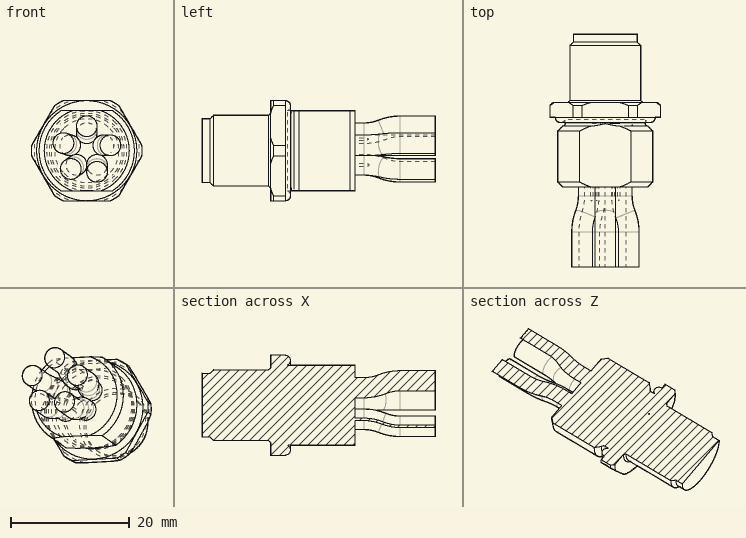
import cadquery as cq
import math


barrel_diameter = 12.0
tip_diameter = 10.8
tip_y = 14.03
tip_length = 1.35
barrel_chamfer = (barrel_diameter - tip_diameter) / 2
root_flare = 0.3

hex_across_flats = 17.0
hex_corner_diameter = 18.7
hex_thickness = 2.5
hex_chamfer = 0.5

neck_diameter = 13.5
ring_outer_diameter = 16.9
ring_section_diameter = 1.75
ring_center_radius = (ring_outer_diameter - ring_section_diameter) / 2

body_diameter = 16.07
body_across_flats = 13.5
body_rear_y = -11.75
body_length = 10.3
body_front_y = body_rear_y + body_length
body_chamfer = 0.85

wire_diameter = 3.5
wire_circle_radius = 2.95
overall_length = 39.3
wire_end_y = tip_y - overall_length
straight_root_length = 1.55
bend_start_y = body_rear_y - straight_root_length
bend_length = 6.05
bend_offset = 1.18
bend_directions = [90, 162, 216, 270, 0]
first_wire_angle = 90
wire_spacing = 360 / len(bend_directions)


def make_barrel():
    """Barrel with a stepped tip and a small flare where it meets the flange."""
    barrel_r = barrel_diameter / 2
    tip_r = tip_diameter / 2
    shoulder_y = tip_y - tip_length
    profile = [
        (0, 0),
        (barrel_r + root_flare, 0),
        (barrel_r + root_flare, hex_thickness),
        (barrel_r, hex_thickness + root_flare),
        (barrel_r, shoulder_y - barrel_chamfer),
        (tip_r, shoulder_y),
        (tip_r, tip_y),
        (0, tip_y),
    ]
    return cq.Workplane("XY").polyline(profile).close().revolve(360, (0, 0, 0), (0, 1, 0))


def make_flange():
    """Hexagon with rounded corners, chamfered on the barrel side only."""
    hexagon = (
        cq.Workplane("XZ", origin=(0, hex_thickness, 0))
        .polygon(6, hex_across_flats / math.cos(math.radians(30)))
        .extrude(hex_thickness)
    )
    envelope = (
        cq.Workplane("XZ", origin=(0, hex_thickness, 0))
        .circle(hex_corner_diameter / 2)
        .extrude(hex_thickness)
        .faces(">Y")
        .chamfer(hex_chamfer)
    )
    return hexagon.intersect(envelope)


def make_seal_ring():
    """O-ring around the neck, centred on the sealing face."""
    return (
        cq.Workplane("XY")
        .center(ring_center_radius, 0)
        .circle(ring_section_diameter / 2)
        .revolve(360, (-ring_center_radius, 0, 0), (-ring_center_radius, 1, 0))
    )


def make_rear_body():
    """Turned body with chamfers and a hollow fillet to the neck, cut by two flats at top and bottom."""
    body_r = body_diameter / 2
    neck_r = neck_diameter / 2
    chamfer_r = body_r - body_chamfer
    fillet_radius = chamfer_r - neck_r
    fillet_end_y = body_front_y + fillet_radius
    fillet_mid = fillet_radius * math.sqrt(0.5)
    turned = (
        cq.Workplane("XY")
        .moveTo(0, body_rear_y)
        .lineTo(chamfer_r, body_rear_y)
        .lineTo(body_r, body_rear_y + body_chamfer)
        .lineTo(body_r, body_front_y - body_chamfer)
        .lineTo(chamfer_r, body_front_y)
        .threePointArc((chamfer_r - fillet_mid, fillet_end_y - fillet_mid), (neck_r, fillet_end_y))
        .lineTo(neck_r, 0)
        .lineTo(0, 0)
        .close()
        .revolve(360, (0, 0, 0), (0, 1, 0))
    )
    flats = cq.Workplane("XY", origin=(0, body_rear_y / 2, 0)).box(
        body_diameter, -body_rear_y, body_across_flats
    )
    return turned.intersect(flats)


def make_wire(angle, bend_direction):
    """Straight wire, an S-bend of two equal arcs, then a straight end."""
    start_x = wire_circle_radius * math.cos(math.radians(angle))
    start_z = wire_circle_radius * math.sin(math.radians(angle))
    shift_x = math.cos(math.radians(bend_direction))
    shift_z = math.sin(math.radians(bend_direction))

    def point(y, offset):
        return cq.Vector(start_x + offset * shift_x, y, start_z + offset * shift_z)

    bend_radius = (bend_length**2 + bend_offset**2) / (4 * bend_offset)
    half_angle = math.asin(bend_length / 2 / bend_radius) / 2
    arc_mid_y = bend_radius * math.sin(half_angle)
    arc_mid_offset = bend_radius * (1 - math.cos(half_angle))
    bend_end_y = bend_start_y - bend_length

    body_point = point(body_rear_y, 0)
    bend_start = point(bend_start_y, 0)
    bend_middle = point(bend_start_y - bend_length / 2, bend_offset / 2)
    bend_end = point(bend_end_y, bend_offset)
    first_arc_mid = point(bend_start_y - arc_mid_y, arc_mid_offset)
    second_arc_mid = point(bend_end_y + arc_mid_y, bend_offset - arc_mid_offset)
    edges = [
        cq.Edge.makeLine(body_point, bend_start),
        cq.Edge.makeThreePointArc(bend_start, first_arc_mid, bend_middle),
        cq.Edge.makeThreePointArc(bend_middle, second_arc_mid, bend_end),
        cq.Edge.makeLine(bend_end, point(wire_end_y, bend_offset)),
    ]
    path = cq.Wire.assembleEdges(edges)
    section = cq.Workplane("XZ", origin=(start_x, body_rear_y, start_z)).circle(wire_diameter / 2)
    return section.sweep(cq.Workplane(path))


result = make_barrel().union(make_flange()).union(make_seal_ring()).union(make_rear_body())
for index, bend_direction in enumerate(bend_directions):
    result = result.union(make_wire(first_wire_angle + index * wire_spacing, bend_direction))